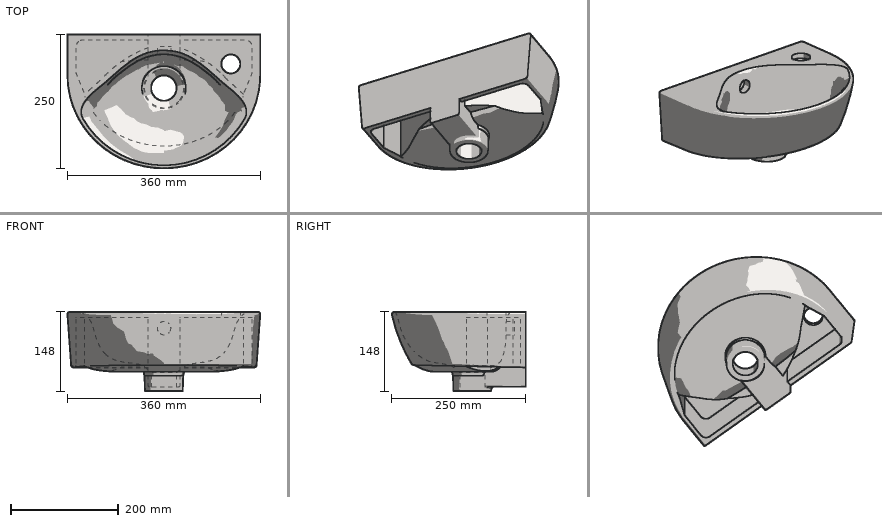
import cadquery as cq
import math


TOP_HALF_WIDTH = 180.0
TOP_DEPTH = 250.01
TOP_STRAIGHT = 76.0
RIM_BAND = 6.0
RIM_FILLET = 5.0
MID_Z = -50.0
MID_HALF_WIDTH = 176.7
MID_DEPTH = 236.5
MID_STRAIGHT = 71.0
SHELL_BASE_Z = -106.0
BASE_HALF_WIDTH = 172.8
BASE_DEPTH = 208.0
BASE_STRAIGHT = 65.0
UNDERSIDE_BACK_Z = -104.0
UNDERSIDE_FRONT_Z = -98.5
UNDERSIDE_FILLET = 5.0

DRAIN_Y = -100.0
DRAIN_RING_RADIUS = 41.0
FUNNEL_TOP_RADIUS = 37.0
DRAIN_RADIUS = 23.5
BOWL_FLOOR_Z = -100.0
RING_DROP = 2.0
FUNNEL_BASE_Z = -113.0
SPIGOT_TOP_RADIUS = 37.0
SPIGOT_BASE_RADIUS = 35.5
SPIGOT_BASE_Z = -148.0
SPIGOT_FILLET = 1.5
COLLAR_BASE_RADIUS = 36.4
COLLAR_TOP_RADIUS = 38.0
COLLAR_BASE_Z = -119.0

BELLY_SECTIONS = [
    (-98.0, -66.0, 168.0, 24.0, 144.0),
    (-109.5, -80.0, 120.0, 25.0, 106.0),
    (-112.0, -92.0, 90.0, 30.0, 81.0),
]
BELLY_TOP_Z = BELLY_SECTIONS[0][0]
BELLY_BASE_Z = BELLY_SECTIONS[-1][0]

BLOCK_HALF_WIDTH = 30.0
BLOCK_BASE_Z = -140.0
BLOCK_FILLET = 4.0
JOINT_FILLET = 5.0
SEAM_MARGIN = 1.0

TAP_X = 125.0
TAP_Y = -55.0
TAP_RADIUS = 17.5
OVERFLOW_Z = -30.0
OVERFLOW_RADIUS = 12.5
OVERFLOW_END_Y = -22.0

DECK_THICKNESS = 10.0
POCKET_BACK_Y = -10.0
POCKET_SIDE_X = 164.0
POCKET_CORNER_RADIUS = 12.0
POCKET_SIDE_END_Y = -72.0
POCKET_TIP = (148.0, -111.0)
POCKET_SHOULDER = (117.0, -83.0)
POCKET_CURVE = (75.0, -47.0)
POCKET_INNER_Y = -24.0

BOWL_SECTIONS = [
    (0.0, -29.5, (69, -55), (110, -90), (145, -122), (154, -142), (151, -157), -244.2),
    (-12.0, -36.0, (66, -59), (107, -94), (134, -120), (140, -136), (136, -152), -239.0),
    (-50.0, -37.5, (65, -60), (105, -94), (121, -115), (126, -130), (124, -146.5), -226.0),
    (-83.0, -43.5, (58, -64), (93, -95), (101, -108), (104, -120), (100, -137), -198.0),
    (-94.0, -49.5, (42, -66), (65, -92.5), (70, -102), (72, -112), (69, -123), -172.0),
]

RING_ANGLES = (50, 15, 5, -5, -15)


def elliptic_arc(x_radius, y_radius, centre_y, z, start_angle, end_angle):
    """Level arc of an ellipse centred on X = 0."""
    centre = cq.Vector(0, centre_y, z)
    up = cq.Vector(0, 0, 1)
    return cq.Edge.makeEllipse(x_radius, y_radius, centre, up, cq.Vector(1, 0, 0), start_angle, end_angle, 1)


def d_wire(half_width, depth, straight, z):
    """Straight back and flanks closed by two quarter ellipses."""
    def point(x, y):
        return cq.Vector(x, y, z)

    def quarter(start_angle):
        return elliptic_arc(half_width, depth - straight, -straight, z, start_angle, start_angle + 90)

    edges = [
        cq.Edge.makeLine(point(half_width, -straight), point(half_width, 0)),
        cq.Edge.makeLine(point(half_width, 0), point(-half_width, 0)),
        cq.Edge.makeLine(point(-half_width, 0), point(-half_width, -straight)),
        quarter(180),
        quarter(270),
    ]
    return cq.Wire.assembleEdges(edges)


def make_shell():
    top = d_wire(TOP_HALF_WIDTH, TOP_DEPTH, TOP_STRAIGHT, -RIM_BAND)
    middle = d_wire(MID_HALF_WIDTH, MID_DEPTH, MID_STRAIGHT, MID_Z)
    base = d_wire(BASE_HALF_WIDTH, BASE_DEPTH, BASE_STRAIGHT, SHELL_BASE_Z)
    skirt = cq.Workplane(cq.Solid.makeLoft([top, middle, base]))
    band = cq.Workplane(cq.Solid.extrudeLinear(top, [], cq.Vector(0, 0, RIM_BAND)))
    band = band.faces(">Z").edges("not(>Y)").fillet(RIM_FILLET)
    below = (
        cq.Workplane("YZ")
        .polyline([
            (0, UNDERSIDE_BACK_Z),
            (-TOP_DEPTH, UNDERSIDE_FRONT_Z),
            (-TOP_DEPTH, SPIGOT_BASE_Z),
            (0, SPIGOT_BASE_Z),
        ])
        .close()
        .extrude(TOP_HALF_WIDTH, both=True)
    )
    skirt = skirt.cut(below)
    skirt = skirt.faces("<Z").edges("not(>Y)").fillet(UNDERSIDE_FILLET)
    return skirt.union(band)


def belly_wire(z, seam_y, half_width, rear_reach, front_reach):
    edges = [
        elliptic_arc(half_width, rear_reach, seam_y, z, 0, 180),
        elliptic_arc(half_width, front_reach, seam_y, z, 180, 360),
    ]
    return cq.Wire.assembleEdges(edges)


def make_belly():
    return cq.Workplane(cq.Solid.makeLoft([belly_wire(*section) for section in BELLY_SECTIONS]))


def cylinder(radius, x, y, low_z, high_z):
    return cq.Workplane("XY", origin=(x, y, low_z)).circle(radius).extrude(high_z - low_z)


def cone(low_radius, low_z, high_radius, high_z):
    """Cone frustum on the drain axis."""
    return cq.Workplane(
        cq.Solid.makeCone(
            low_radius, high_radius, high_z - low_z, cq.Vector(0, DRAIN_Y, low_z), cq.Vector(0, 0, 1)
        )
    )


def make_outlet():
    """Spigot with its collar and the channel block running back to the wall."""
    spigot = cone(SPIGOT_BASE_RADIUS, SPIGOT_BASE_Z, SPIGOT_TOP_RADIUS, BELLY_TOP_Z)
    block = (
        cq.Workplane("XY", origin=(0, DRAIN_Y / 2, BLOCK_BASE_Z))
        .rect(2 * BLOCK_HALF_WIDTH, -DRAIN_Y)
        .extrude(BELLY_TOP_Z - BLOCK_BASE_Z)
    )
    block = block.faces("<Z").edges("|Y").fillet(BLOCK_FILLET)
    outlet = spigot.union(block)
    joint = cq.selectors.BoxSelector(
        (-BLOCK_HALF_WIDTH - SEAM_MARGIN, DRAIN_Y + SEAM_MARGIN, BLOCK_BASE_Z - SEAM_MARGIN),
        (BLOCK_HALF_WIDTH + SEAM_MARGIN, -JOINT_FILLET, BELLY_TOP_Z - SEAM_MARGIN),
    )
    outlet = outlet.edges(joint).edges("not(|Y)").fillet(JOINT_FILLET)
    outlet = outlet.faces("<Z").edges().fillet(SPIGOT_FILLET)
    collar = cone(COLLAR_BASE_RADIUS, COLLAR_BASE_Z, COLLAR_TOP_RADIUS, BELLY_BASE_Z)
    return outlet.union(collar)


def bowl_wire(z, rear_y, rear, shoulder, side_a, side_b, corner, front_y):
    """Level outline of the bowl: curved rear, rounded side corners and an arc at the front."""
    def point(xy, side=1):
        return cq.Vector(side * xy[0], xy[1], z)

    def mirrored(points):
        return [cq.Vector(-p.x, p.y, p.z) for p in reversed(points)]

    along_x = cq.Vector(1, 0, 0)
    rear_mid = cq.Vector(0, rear_y, z)
    sagitta = corner[1] - front_y
    radius = (corner[0] ** 2 + sagitta ** 2) / (2 * sagitta)
    half_angle = math.atan2(corner[0], radius - sagitta) / 2
    quarter = cq.Vector(
        radius * math.sin(half_angle), front_y + radius * (1 - math.cos(half_angle)), z
    )
    front_mid = cq.Vector(0, front_y, z)
    rear_points = [rear_mid, point(rear), point(shoulder)]
    side_points = [point(shoulder), point(side_a), point(side_b), point(corner)]
    front_points = [point(corner), quarter, front_mid]
    edges = [
        cq.Edge.makeSpline(rear_points, [along_x, point(side_a) - point(shoulder)]),
        cq.Edge.makeSpline(side_points),
        cq.Edge.makeThreePointArc(*front_points),
        cq.Edge.makeThreePointArc(*mirrored(front_points)),
        cq.Edge.makeSpline(mirrored(side_points)),
        cq.Edge.makeSpline(mirrored(rear_points), [point(shoulder, -1) - point(side_a, -1), along_x]),
    ]
    return cq.Wire.assembleEdges(edges)


def ring_section():
    """Bowl section that ends on the circle round the drain."""
    def on_ring(degrees):
        angle = math.radians(degrees)
        return (DRAIN_RING_RADIUS * math.cos(angle), DRAIN_Y + DRAIN_RING_RADIUS * math.sin(angle))

    right_side = [on_ring(degrees) for degrees in RING_ANGLES]
    return (BOWL_FLOOR_Z, DRAIN_Y + DRAIN_RING_RADIUS, *right_side, DRAIN_Y - DRAIN_RING_RADIUS)


def make_bowl():
    wires = [bowl_wire(*section) for section in BOWL_SECTIONS]
    wires.append(bowl_wire(*ring_section()))
    return cq.Workplane(cq.Solid.makeLoft(wires))


def make_drain():
    ring = cone(FUNNEL_TOP_RADIUS, BOWL_FLOOR_Z - RING_DROP, DRAIN_RING_RADIUS, BOWL_FLOOR_Z)
    funnel = cone(DRAIN_RADIUS, FUNNEL_BASE_Z, FUNNEL_TOP_RADIUS, BOWL_FLOOR_Z - RING_DROP)
    bore = cylinder(DRAIN_RADIUS, 0, DRAIN_Y, SPIGOT_BASE_Z, BOWL_FLOOR_Z)
    return ring.union(funnel).union(bore)


def make_overflow():
    return (
        cq.Workplane("XZ", origin=(0, OVERFLOW_END_Y, OVERFLOW_Z))
        .circle(OVERFLOW_RADIUS)
        .extrude(OVERFLOW_END_Y - DRAIN_Y)
    )


def make_pocket():
    """Pocket under the right rear corner of the deck, following the bowl wall at its front."""
    pocket = (
        cq.Workplane("XY", origin=(0, 0, SPIGOT_BASE_Z))
        .moveTo(BLOCK_HALF_WIDTH, POCKET_BACK_Y)
        .lineTo(POCKET_SIDE_X, POCKET_BACK_Y)
        .lineTo(POCKET_SIDE_X, POCKET_SIDE_END_Y)
        .lineTo(*POCKET_TIP)
        .lineTo(*POCKET_SHOULDER)
        .threePointArc(POCKET_CURVE, (BLOCK_HALF_WIDTH, POCKET_INNER_Y))
        .close()
        .extrude(-DECK_THICKNESS - SPIGOT_BASE_Z)
    )
    rear_corner = cq.NearestToPointSelector((POCKET_SIDE_X, POCKET_BACK_Y, MID_Z))
    return pocket.edges("|Z").edges(rear_corner).fillet(POCKET_CORNER_RADIUS)


pocket = make_pocket()
result = make_shell().union(make_belly())
result = result.cut(pocket).cut(pocket.mirror("YZ"))
result = result.union(make_outlet())
result = result.cut(make_bowl()).cut(make_drain()).cut(make_overflow())
result = result.cut(cylinder(TAP_RADIUS, TAP_X, TAP_Y, -2 * DECK_THICKNESS, 0))